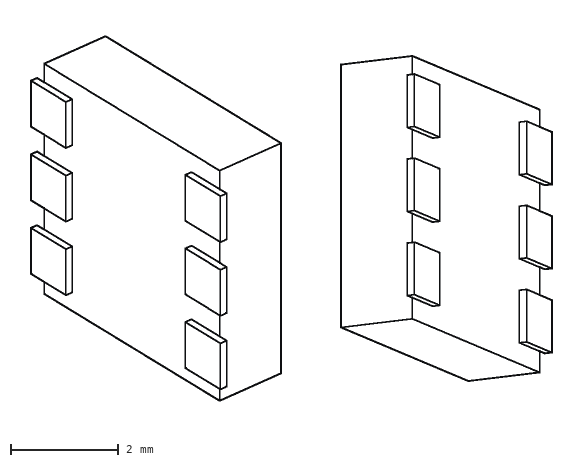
import cadquery as cq

body_side = 5.0
body_depth = 1.5

overall_width = 5.4
pad_side = 1.0
pad_thickness = 0.15
pad_pitch = 1.6
pads_per_side = 3

pad_center_x = (overall_width - pad_side) / 2


def make_body():
    """Body with its pad face on the plane Y = 0."""
    return cq.Workplane("XY").box(body_side, body_depth, body_side, centered=(True, False, True))


def make_pads():
    """Two columns of square pads standing out from the body toward -Y."""
    return (
        cq.Workplane("XZ")
        .rarray(2 * pad_center_x, pad_pitch, 2, pads_per_side)
        .rect(pad_side, pad_side)
        .extrude(pad_thickness)
    )


result = make_body().union(make_pads())